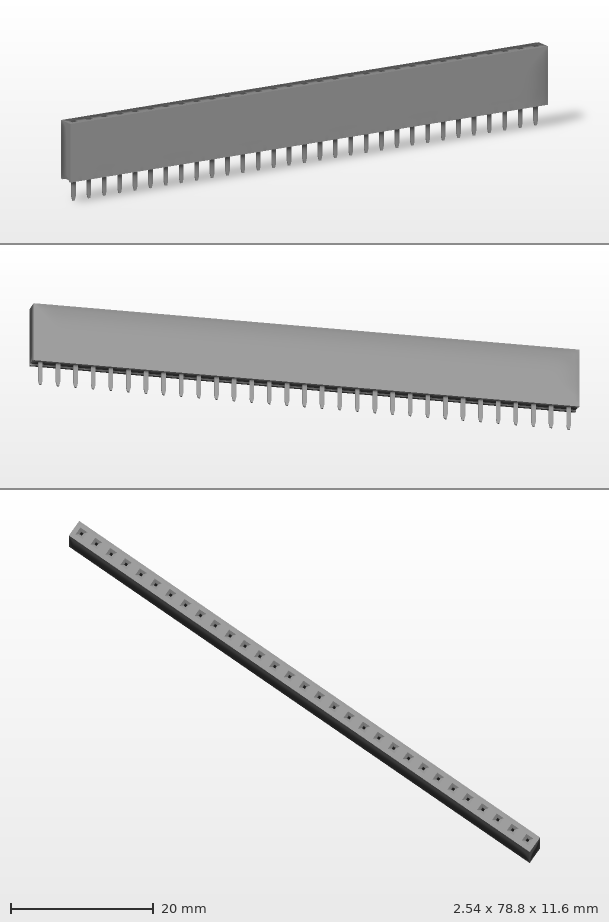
import cadquery as cq

contact_count = 31
strip_length = 78.75
pitch = strip_length / contact_count
body_width = pitch
body_height = 8.5
overall_height = 11.6

channel_width = 1.65
channel_depth = 0.2

mouth_size = 1.2
bore_size = 0.4
funnel_depth = (mouth_size - bore_size) / 2
bore_depth = 5.9

tail_width = 0.6
tail_thickness = 0.2
tip_width = 0.3
tip_length = 0.6
tail_bottom = body_height - overall_height

contact_positions = [
    (0, (index - (contact_count - 1) / 2) * pitch) for index in range(contact_count)
]


def make_body():
    """Housing block standing on two rails, with its lowest face at Z = 0."""
    block = cq.Workplane("XY").box(body_width, strip_length, body_height, centered=(True, True, False))
    channel = cq.Workplane("XY").box(channel_width, strip_length, channel_depth, centered=(True, True, False))
    return block.cut(channel)


def make_socket():
    """Volume removed above one contact: tapered mouth plus bore, centred on Z."""
    funnel = (
        cq.Workplane("XY", origin=(0, 0, body_height))
        .rect(mouth_size, mouth_size)
        .workplane(offset=-funnel_depth)
        .rect(bore_size, bore_size)
        .loft(ruled=True)
    )
    bore = (
        cq.Workplane("XY", origin=(0, 0, body_height - bore_depth))
        .rect(bore_size, bore_size)
        .extrude(bore_depth - funnel_depth)
    )
    return funnel.union(bore)


def make_tail():
    """One solder tail, reaching up to the roof of the channel."""
    shoulder = tail_bottom + tip_length
    outline = [
        (-tail_width / 2, channel_depth),
        (-tail_width / 2, shoulder),
        (-tip_width / 2, tail_bottom),
        (tip_width / 2, tail_bottom),
        (tail_width / 2, shoulder),
        (tail_width / 2, channel_depth),
    ]
    return cq.Workplane("YZ").polyline(outline).close().extrude(tail_thickness / 2, both=True)


def at_every_contact(shape):
    """Copies of one shape at all the contact positions."""
    solid = shape.val()
    return cq.Workplane("XY").pushPoints(contact_positions).eachpoint(lambda place: solid.moved(place))


result = make_body().cut(at_every_contact(make_socket())).union(at_every_contact(make_tail()))